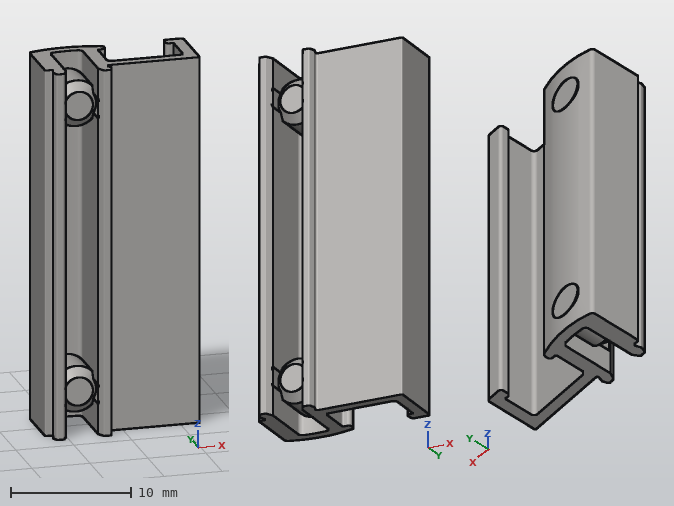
import cadquery as cq
import math

LENGTH = 32.0
WIDTH = 13.35
DEPTH = 6.8
LEFT_X = -3.0
RIGHT_X = LEFT_X + WIDTH
BASE_Y = -5.5
WALL = 1.02

CROWN_RIGHT_X = 3.4
CROWN_RADIUS = 10.0
CROWN_MIDDLE_X = (LEFT_X + CROWN_RIGHT_X) / 2
CROWN_SAG = CROWN_RADIUS - math.sqrt(CROWN_RADIUS**2 - (CROWN_RIGHT_X - CROWN_MIDDLE_X) ** 2)

SLOT_HALF = 1.38
ROOF = 1.0

SIDE_WALL = 1.12
HOOK_WIDTH = 1.73
CHANNEL_LEFT_X = 2.7
CHANNEL_RIGHT_X = RIGHT_X - SIDE_WALL
CHANNEL_FLOOR_Y = BASE_Y + WALL
HOOK_TIP_X = RIGHT_X - HOOK_WIDTH
HOOK_TOP_Y = -0.3
LIP_UNDER_Y = HOOK_TOP_Y - WALL

LEG_ROOT_X = 2.3
BARB_X = 2.53
BARB_Y = -6.2
TIP_OUTER_X = 2.35
TIP_INNER_X = 1.73
BEVEL_Y = -6.15
LEG_TIP_Y = -DEPTH

LARGE_ROUND = 0.4
ROUND = 0.3
UNDERCUT_ROUND = 0.15
SMALL_ROUND = 0.1

SHANK_DIAMETER = 3.23
HEAD_DIAMETER = 4.0
HEAD_CHAMFER = 0.77
PIN_TOP_Y = -0.03
PIN_TIP_Y = -5.05
PIN_SPACING = 25.0
PIN_HEIGHTS = [-PIN_SPACING / 2, PIN_SPACING / 2]


def leg_outline(side):
    """Points of one snap leg, from its outer root to the slot mouth; side is -1 or 1."""
    right_leg = [
        (LEG_ROOT_X, BASE_Y),
        (BARB_X, BARB_Y),
        (TIP_OUTER_X, LEG_TIP_Y),
        (TIP_INNER_X, LEG_TIP_Y),
        (SLOT_HALF, BEVEL_Y),
    ]
    return [(side * x, y) for x, y in right_leg]


def round_edges(body, points, radius):
    """Fillet the lengthwise edges that pass through the given section points."""
    for x, y in points:
        edge = cq.selectors.NearestToPointSelector((x, y, 0))
        body = body.edges("|Z").edges(edge).fillet(radius)
    return body


def slot_top_y(x):
    """Height of the slot's top, an arc concentric with the crown."""
    radius = CROWN_RADIUS - ROOF
    return math.sqrt(radius**2 - (x - CROWN_MIDDLE_X) ** 2) - CROWN_RADIUS


SLOT_LEFT_CORNER = (-SLOT_HALF, slot_top_y(-SLOT_HALF))
SLOT_RIGHT_CORNER = (SLOT_HALF, slot_top_y(SLOT_HALF))


def make_rail():
    left_leg = leg_outline(-1)
    right_leg = leg_outline(1)
    channel = [
        (RIGHT_X, BASE_Y),
        (RIGHT_X, HOOK_TOP_Y),
        (HOOK_TIP_X, HOOK_TOP_Y),
        (HOOK_TIP_X, LIP_UNDER_Y),
        (CHANNEL_RIGHT_X, LIP_UNDER_Y),
        (CHANNEL_RIGHT_X, CHANNEL_FLOOR_Y),
        (CHANNEL_LEFT_X, CHANNEL_FLOOR_Y),
        (CHANNEL_LEFT_X, LIP_UNDER_Y),
        (CROWN_RIGHT_X, LIP_UNDER_Y),
        (CROWN_RIGHT_X, -CROWN_SAG),
    ]
    rail = (
        cq.Workplane("XY")
        .workplane(offset=-LENGTH / 2)
        .polyline([(LEFT_X, BASE_Y), *left_leg, SLOT_LEFT_CORNER])
        .threePointArc((CROWN_MIDDLE_X, -ROOF), SLOT_RIGHT_CORNER)
        .polyline([*reversed(right_leg), *channel], includeCurrent=True)
        .threePointArc((CROWN_MIDDLE_X, 0), (LEFT_X, -CROWN_SAG))
        .close()
        .extrude(LENGTH)
    )
    return round_rail(rail, left_leg, right_leg)


def round_rail(rail, left_leg, right_leg):
    """Fillet the lengthwise edges of the rail."""
    crown_corners = [(LEFT_X, -CROWN_SAG), (CROWN_RIGHT_X, -CROWN_SAG)]
    floor_corners = [(CHANNEL_LEFT_X, CHANNEL_FLOOR_Y), (CHANNEL_RIGHT_X, CHANNEL_FLOOR_Y)]
    slot_corners = [SLOT_LEFT_CORNER, SLOT_RIGHT_CORNER]
    lip_corners = [
        (CROWN_RIGHT_X, LIP_UNDER_Y),
        (HOOK_TIP_X, LIP_UNDER_Y),
        (HOOK_TIP_X, HOOK_TOP_Y),
        (RIGHT_X, HOOK_TOP_Y),
    ]
    rail = round_edges(rail, crown_corners + floor_corners + slot_corners, LARGE_ROUND)
    rail = round_edges(rail, lip_corners, ROUND)
    rail = round_edges(rail, [(CHANNEL_LEFT_X, LIP_UNDER_Y)], UNDERCUT_ROUND)
    rail = round_edges(rail, [(LEFT_X, BASE_Y), (RIGHT_X, BASE_Y)], SMALL_ROUND)
    for leg in (left_leg, right_leg):
        root, barb, outer_tip, inner_tip, _ = leg
        rail = round_edges(rail, [root, barb, outer_tip], UNDERCUT_ROUND)
        rail = round_edges(rail, [inner_tip], SMALL_ROUND)
    return rail


def cylinder_along_y(diameter, start_y, end_y, z):
    """Cylinder on the slot's mid-plane, from start_y down to end_y."""
    return (
        cq.Workplane("XZ", origin=(0, start_y, z))
        .circle(diameter / 2)
        .extrude(start_y - end_y)
    )


def make_pin(z):
    """Shank through the crown and a wider, chamfered head inside the slot."""
    head = cylinder_along_y(HEAD_DIAMETER, -ROOF, PIN_TIP_Y, z)
    head = head.faces("<Y").chamfer(HEAD_CHAMFER)
    shank = cylinder_along_y(SHANK_DIAMETER, PIN_TOP_Y, -ROOF, z)
    return head.union(shank)


def cut_pin_seat(rail, pin, z):
    """Bore down to the slot's bevel, widened to the shape of the pin head."""
    bore = cylinder_along_y(SHANK_DIAMETER, 0, BEVEL_Y, z)
    return rail.cut(bore).cut(pin)


rail = make_rail()
pins = []
for height in PIN_HEIGHTS:
    pin = make_pin(height)
    rail = cut_pin_seat(rail, pin, height)
    pins.append(pin)

result = cq.Compound.makeCompound([rail.solids().val(), *[pin.solids().val() for pin in pins]])